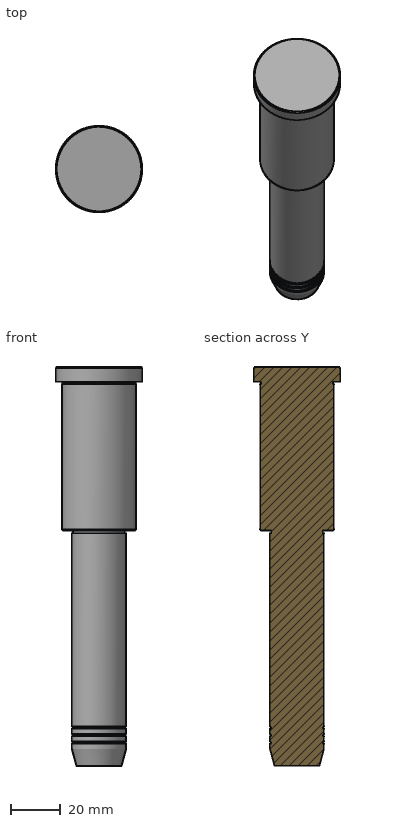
import cadquery as cq
import math

total_length = 161.0
head_height = 6.0
sleeve_length = 60.0
nose_length = 7.0
nose_taper_angle = 15.0

head_radius = 35.0 / 2
sleeve_radius = 30.0 / 2
shaft_radius = 22.0 / 2

head_chamfer = 0.5
sleeve_chamfer = 0.5
tip_fillet = 0.5

relief_width = 1.0
relief_depth = 0.5

groove_count = 3
groove_width = 1.0
groove_depth = 0.5
groove_pitch = 3.0
first_groove_height = 9.5

head_bottom = total_length - head_height
sleeve_bottom = head_bottom - sleeve_length

nose_tip_radius = shaft_radius - nose_length * math.tan(math.radians(nose_taper_angle))


def cylinder(radius, bottom, top):
    """Solid cylinder on the Z axis between two heights."""
    return cq.Workplane("XY").workplane(offset=bottom).circle(radius).extrude(top - bottom)


def relief_cutter(outer_radius, shoulder_height):
    """Square-section ring that undercuts a cylinder just below a shoulder."""
    ring = cq.Workplane("XY").workplane(offset=shoulder_height - relief_width)
    return ring.circle(outer_radius).circle(outer_radius - relief_depth).extrude(relief_width)


def groove_cutter(outer_radius, height):
    """Ring that cuts a V groove centred at the given height on a cylinder."""
    half_width = groove_width / 2
    section = (
        cq.Workplane("XZ")
        .moveTo(outer_radius, height - half_width)
        .lineTo(outer_radius - groove_depth, height)
        .lineTo(outer_radius, height + half_width)
        .close()
    )
    return section.revolve(360, (0, 0, 0), (0, 1, 0))


def make_head():
    head = cylinder(head_radius, head_bottom, total_length)
    return head.faces(">Z").edges().chamfer(head_chamfer)


def make_sleeve():
    sleeve = cylinder(sleeve_radius, sleeve_bottom, head_bottom)
    sleeve = sleeve.faces("<Z").edges().chamfer(sleeve_chamfer)
    return sleeve.cut(groove_cutter(sleeve_radius, head_bottom - groove_width / 2))


def make_shaft():
    shaft = cylinder(shaft_radius, nose_length, sleeve_bottom)
    shaft = shaft.cut(relief_cutter(shaft_radius, sleeve_bottom))
    for index in range(groove_count):
        groove_height = first_groove_height + index * groove_pitch
        shaft = shaft.cut(groove_cutter(shaft_radius, groove_height))
    return shaft


def make_nose():
    """Tapered lead-in with a rounded tip edge."""
    profile = (
        cq.Workplane("XZ")
        .lineTo(nose_tip_radius, 0)
        .lineTo(shaft_radius, nose_length)
        .lineTo(0, nose_length)
        .close()
    )
    nose = profile.revolve(360, (0, 0, 0), (0, 1, 0))
    return nose.faces("<Z").edges().fillet(tip_fillet)


result = make_head().union(make_sleeve()).union(make_shaft()).union(make_nose())